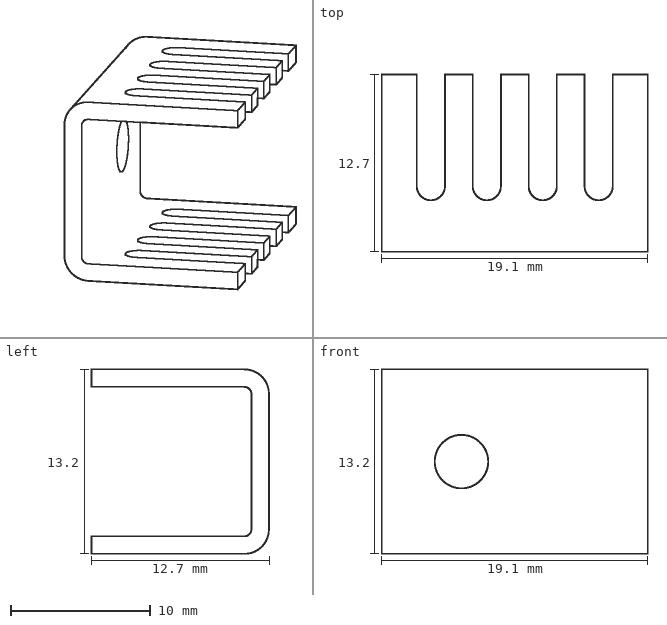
import cadquery as cq

length = 19.05
depth = 12.7
height = 13.21

thickness = 1.27
inner_bend_radius = 0.5
outer_bend_radius = inner_bend_radius + thickness

slot_count = 4
slot_pitch = 4.0
slot_width = 2.0
slot_depth = 9.0

hole_diameter = 3.81
hole_from_end = 5.715


def make_channel():
    """U-shaped sheet, web on the -Y side, flanges reaching toward +Y."""
    outer = (
        cq.Workplane("XY")
        .box(length, depth, height)
        .edges("|X and <Y")
        .fillet(outer_bend_radius)
    )
    cavity = (
        cq.Workplane("XY")
        .box(length, depth - thickness, height - 2 * thickness)
        .edges("|X and <Y")
        .fillet(inner_bend_radius)
        .translate((0, thickness / 2, 0))
    )
    return outer.cut(cavity)


def make_slot(x_center):
    """Round-ended slot, open at the flange tips and crossing both flanges."""
    radius = slot_width / 2
    tip_y = depth / 2
    arc_start_y = tip_y - slot_depth + radius
    return (
        cq.Workplane("XY")
        .workplane(offset=-height / 2)
        .moveTo(x_center - radius, tip_y)
        .lineTo(x_center - radius, arc_start_y)
        .threePointArc((x_center, tip_y - slot_depth), (x_center + radius, arc_start_y))
        .lineTo(x_center + radius, tip_y)
        .close()
        .extrude(height)
    )


def make_mounting_hole():
    """Cylinder along Y that passes through the web only."""
    return (
        cq.Workplane("XZ", origin=(hole_from_end - length / 2, -depth / 2, 0))
        .circle(hole_diameter / 2)
        .extrude(-thickness)
    )


result = make_channel().cut(make_mounting_hole())
for index in range(slot_count):
    slot_x = (index - (slot_count - 1) / 2) * slot_pitch
    result = result.cut(make_slot(slot_x))